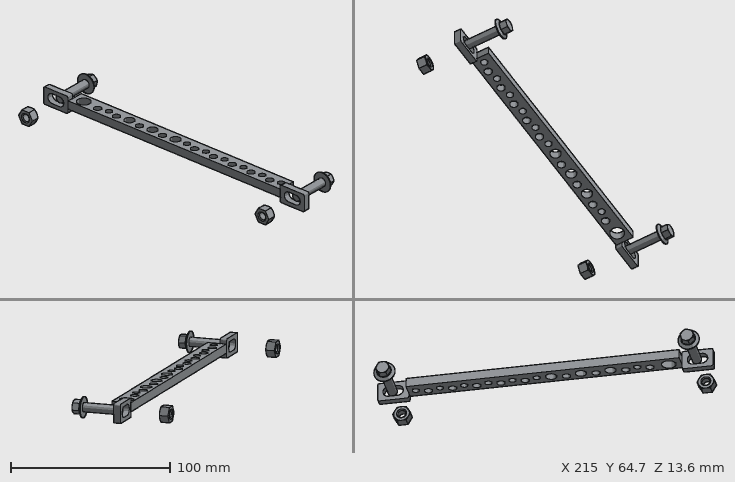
import cadquery as cq
import math

frame_length = 215.0
tab_length = 20.0
tab_thickness = 4.5
tab_height = 12.6
tab_corner_radius = 1.2
bar_back_y = 12.9
bar_recess = 0.3
bar_height = 6.0
slot_length = 13.0
slot_width = 7.0

large_hole_diameter = 9.2
large_hole_y = 6.0
wide_hole_diameter = 7.0
wide_hole_y = 6.45
medium_hole_diameter = 5.2
medium_hole_y = 5.0
small_hole_diameter = 4.5
small_hole_y = 6.8

large_hole_x = 28.0
first_row_start = 40.3
row_pitch = 7.75
middle_row_start = first_row_start + 2 * row_pitch
middle_row_pitch = 9.5
wide_hole_count = 3
last_row_start = 112.5
last_row_count = 11

hexagon_half_step = 30.0
hexagon_chamfer_angle = 30.0

bolt_diameter = 6.0
bolt_length = 25.0
bolt_top_y = 34.7
head_height = 6.6
head_across_flats = 8.0
head_turns = [18.5, 1.5]
flange_diameter = 13.6
flange_rim_height = 0.6
flange_height = 1.8
flange_top_diameter = 9.4
seat_y = bolt_top_y - head_height

nut_across_flats = 10.0
nut_height = 6.0
nut_front_y = -30.0
nut_bore_diameter = 5.0
nut_countersink_diameter = 6.4

fastener_offset = 0.6
tab_centers = [tab_length / 2, frame_length - tab_length / 2]
fastener_centers = [x + fastener_offset for x in tab_centers]



def plane_facing_back(x, y):
    """Sketch plane at height zero whose normal points along +Y."""
    return cq.Workplane(cq.Plane(origin=(x, y, 0), xDir=(1, 0, 0), normal=(0, 1, 0)))


def make_tab(center_x):
    tab = plane_facing_back(center_x, 0).rect(tab_length, tab_height).extrude(tab_thickness)
    tab = tab.edges("|Y").fillet(tab_corner_radius)
    slot = plane_facing_back(center_x, 0).slot2D(slot_length, slot_width).extrude(tab_thickness)
    return tab.cut(slot)


def drill(bar, points, diameter):
    holes = (
        cq.Workplane("XY", origin=(0, 0, -bar_height / 2))
        .pushPoints(points)
        .circle(diameter / 2)
        .extrude(bar_height)
    )
    return bar.cut(holes)


def make_frame():
    bar_length = frame_length - 2 * tab_length
    bar_depth = bar_back_y - bar_recess
    bar = cq.Workplane("XY").box(bar_length, bar_depth, bar_height, centered=(False, False, True))
    bar = bar.translate((tab_length, bar_recess, 0))

    wide_points = []
    medium_points = []
    small_points = []

    medium_points.append((first_row_start, medium_hole_y))
    small_points.append((first_row_start + row_pitch, small_hole_y))

    for i in range(wide_hole_count):
        x = middle_row_start + 2 * i * middle_row_pitch
        medium_points.append((x, medium_hole_y))
        wide_points.append((x + middle_row_pitch, wide_hole_y))

    for i in range(last_row_count):
        x = last_row_start + i * row_pitch
        if i % 2 == 0:
            small_points.append((x, small_hole_y))
        else:
            medium_points.append((x, medium_hole_y))

    bar = drill(bar, [(large_hole_x, large_hole_y)], large_hole_diameter)
    bar = drill(bar, wide_points, wide_hole_diameter)
    bar = drill(bar, medium_points, medium_hole_diameter)
    bar = drill(bar, small_points, small_hole_diameter)

    left_tab = make_tab(tab_centers[0])
    right_tab = make_tab(tab_centers[1])
    return bar.union(left_tab).union(right_tab)


def make_hexagon(center_x, front_y, across_flats, height, turn):
    """Hexagonal prism along Y with its corners chamfered at the back end."""
    prism = (
        plane_facing_back(center_x, front_y)
        .polygon(6, across_flats, circumscribed=True)
        .extrude(height)
        .rotate((center_x, 0, 0), (center_x, 1, 0), hexagon_half_step - turn)
    )
    flat_radius = across_flats / 2
    corner_radius = flat_radius / math.cos(math.radians(hexagon_half_step))
    chamfer_height = (corner_radius - flat_radius) * math.tan(math.radians(hexagon_chamfer_angle))
    envelope = (
        cq.Workplane("XY", origin=(center_x, front_y, 0))
        .lineTo(corner_radius, 0)
        .lineTo(corner_radius, height - chamfer_height)
        .lineTo(flat_radius, height)
        .lineTo(0, height)
        .close()
        .revolve(360, (0, 0, 0), (0, 1, 0))
    )
    return prism.intersect(envelope)


def make_bolt(center_x, head_turn):
    shank = (
        plane_facing_back(center_x, seat_y - bolt_length)
        .circle(bolt_diameter / 2)
        .extrude(bolt_length)
    )
    flange = (
        cq.Workplane("XY", origin=(center_x, seat_y, 0))
        .lineTo(flange_diameter / 2, 0)
        .lineTo(flange_diameter / 2, flange_rim_height)
        .lineTo(flange_top_diameter / 2, flange_height)
        .lineTo(0, flange_height)
        .close()
        .revolve(360, (0, 0, 0), (0, 1, 0))
    )
    head = make_hexagon(center_x, seat_y, head_across_flats, head_height, head_turn)
    return shank.union(flange).union(head)


def make_nut(center_x):
    nut = make_hexagon(center_x, nut_front_y, nut_across_flats, nut_height, 0)
    bore_radius = nut_bore_diameter / 2
    sink_radius = nut_countersink_diameter / 2
    sink_depth = sink_radius - bore_radius
    bore = (
        cq.Workplane("XY", origin=(center_x, nut_front_y, 0))
        .lineTo(sink_radius, 0)
        .lineTo(bore_radius, sink_depth)
        .lineTo(bore_radius, nut_height - sink_depth)
        .lineTo(sink_radius, nut_height)
        .lineTo(0, nut_height)
        .close()
        .revolve(360, (0, 0, 0), (0, 1, 0))
    )
    return nut.cut(bore)


frame = make_frame()
bolts = [make_bolt(x, turn) for x, turn in zip(fastener_centers, head_turns)]
nuts = [make_nut(x) for x in fastener_centers]

result = cq.Compound.makeCompound(
    [frame.val()] + [bolt.val() for bolt in bolts] + [nut.val() for nut in nuts]
)